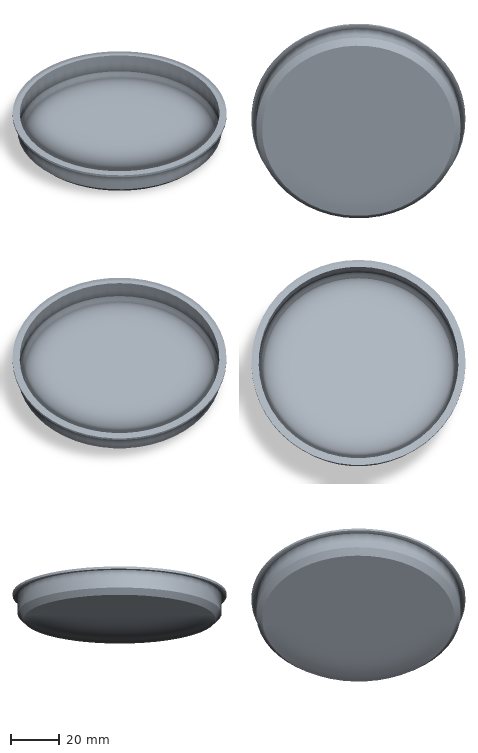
import cadquery as cq

rim_diameter = 89.0
body_diameter = 85.0
inner_diameter = 83.0
total_height = 11.0

wall = (body_diameter - inner_diameter) / 2
rim_thickness = wall
floor_thickness = wall
outer_bevel = 2.5
inner_bevel = 2.0

body = (
    cq.Workplane("XY")
    .circle(body_diameter / 2)
    .extrude(total_height)
    .faces("<Z")
    .edges()
    .chamfer(outer_bevel)
)

rim = (
    cq.Workplane("XY")
    .workplane(offset=total_height - rim_thickness)
    .circle(rim_diameter / 2)
    .extrude(rim_thickness)
)

cavity = (
    cq.Workplane("XY")
    .workplane(offset=floor_thickness)
    .circle(inner_diameter / 2)
    .extrude(total_height - floor_thickness)
    .faces("<Z")
    .edges()
    .chamfer(inner_bevel)
)

result = body.union(rim).cut(cavity)